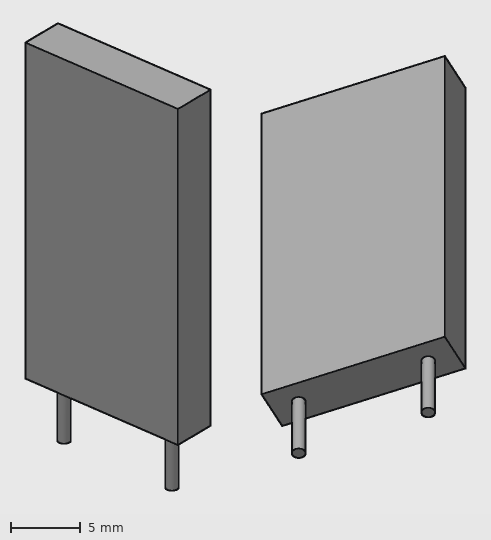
import cadquery as cq

housing_width = 14.4
housing_depth = 3.6
overall_height = 33.0

pin_diameter = 1.0
pin_length = 5.1
pin_spacing = 10.15

housing_height = overall_height - pin_length


def make_housing():
    """Block centred on the Z axis, with its underside at Z = 0."""
    return cq.Workplane("XY").box(
        housing_width, housing_depth, housing_height, centered=(True, True, False)
    )


def make_pin(x):
    """Lead hanging from the housing underside at the given X position."""
    return cq.Workplane("XY").center(x, 0).circle(pin_diameter / 2).extrude(-pin_length)


housing = make_housing()

pins = []
for side in (-1, 1):
    pins.append(make_pin(side * pin_spacing / 2).val())

result = cq.Compound.makeCompound([housing.val(), *pins])